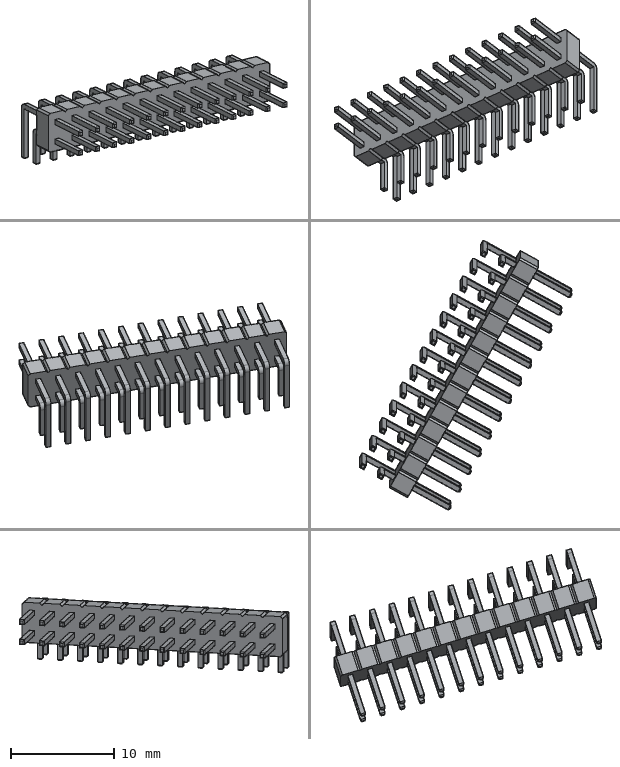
import cadquery as cq


body_length = 26.0
position_count = 13
pitch = body_length / position_count
body_depth = pitch
body_height = 2 * pitch
corner_chamfer = 0.2

pin_width = 0.5
bend_radius = pin_width
overall_depth = 9.95
overall_height = 6.4
outer_leg_reach = 3.75
tail_taper = 0.15
leg_taper = 0.1
tip_inset = 0.1

leg_end_z = body_height / 2 - overall_height
outer_leg_x = -body_depth / 2 - outer_leg_reach
tail_end_x = outer_leg_x + overall_depth


def make_body():
    """Row of equal blocks with chamfered long edges, meeting in V grooves."""
    block = cq.Workplane("XY").box(body_depth, pitch, body_height).edges("|X").chamfer(corner_chamfer)
    core_height = body_height - 2 * corner_chamfer
    body = cq.Workplane("XY").box(body_depth, body_length - 2 * corner_chamfer, core_height)
    for y in position_offsets():
        body = body.union(block.translate((0, y, 0)))
    return body


def position_offsets():
    middle = (position_count - 1) / 2
    return [(index - middle) * pitch for index in range(position_count)]


def make_tip(plane, taper):
    """Four-sided taper from the full pin section to the blunt end of the pin."""
    blunt_width = pin_width - 2 * tip_inset
    return (
        cq.Workplane(plane)
        .rect(pin_width, pin_width)
        .workplane(offset=taper)
        .rect(blunt_width, blunt_width)
        .loft(ruled=True)
    )


def make_pin(leg_x, axis_z):
    """L-shaped square pin with its leg's far side at leg_x and its tail centred on axis_z."""
    top_z = axis_z + pin_width / 2
    inner_z = axis_z - pin_width / 2
    leg_shoulder_z = leg_end_z + leg_taper
    tail_shoulder_x = tail_end_x - tail_taper

    bent_bar = (
        cq.Workplane("XZ")
        .moveTo(leg_x, leg_shoulder_z)
        .lineTo(leg_x, top_z - bend_radius)
        .radiusArc((leg_x + bend_radius, top_z), bend_radius)
        .lineTo(tail_shoulder_x, top_z)
        .lineTo(tail_shoulder_x, inner_z)
        .lineTo(leg_x + pin_width, inner_z)
        .lineTo(leg_x + pin_width, leg_shoulder_z)
        .close()
        .extrude(pin_width / 2, both=True)
    )
    tail_plane = cq.Plane(origin=(tail_shoulder_x, 0, axis_z), xDir=(0, 1, 0), normal=(1, 0, 0))
    leg_plane = cq.Plane(
        origin=(leg_x + pin_width / 2, 0, leg_shoulder_z), xDir=(1, 0, 0), normal=(0, 0, -1)
    )
    return bent_bar.union(make_tip(tail_plane, tail_taper)).union(make_tip(leg_plane, leg_taper))


upper_pin = make_pin(outer_leg_x, pitch / 2)
lower_pin = make_pin(outer_leg_x + pitch, -pitch / 2)

result = make_body()
for y in position_offsets():
    for pin in (upper_pin, lower_pin):
        result = result.union(pin.translate((0, y, 0)))